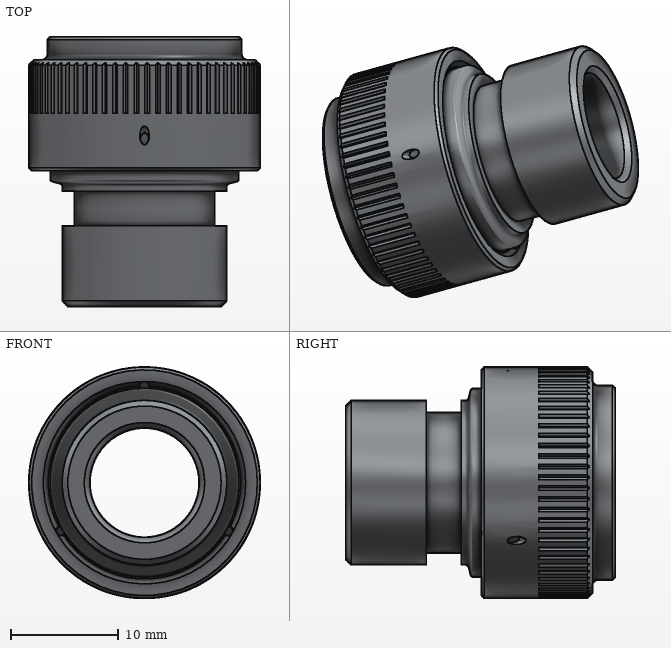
import cadquery as cq
import math

length = 25.17

spigot_radius = 7.68
spigot_end = 7.53
spigot_chamfer = 0.53
neck_radius = 6.57
neck_end = 10.77

body_radius = 8.8
shoulder_front = 11.4
shoulder_edge = 11.7
shoulder_root_fillet = 0.25
shoulder_edge_fillet = 0.3

ring_radius = 10.8
ring_front = 12.65
ring_back = 23.03
ring_front_chamfer = 0.28
ring_back_chamfer = 0.5
recess_outer_radius = 9.45
recess_depth = 0.45

collar_radius = 9.09
collar_fillet = 0.5
collar_chamfer = 0.28

bore_radius = 5.08
bore_chamfer = 0.53

groove_count = 67
groove_depth = 0.22
groove_front = 18.02

pin_count = 3
pin_diameter = 0.85
pin_slant = 30.0
pin_mouth = 15.95
pocket_depth = 0.35

recess_floor = ring_front + recess_depth
recess_floor_radius = recess_outer_radius - recess_depth


def turned_body():
    """Solid of revolution, bounded by the outer profile and the axis."""
    profile = (
        cq.Workplane("XY")
        .moveTo(0, 0)
        .lineTo(spigot_radius - spigot_chamfer, 0)
        .lineTo(spigot_radius, spigot_chamfer)
        .lineTo(spigot_radius, spigot_end)
        .lineTo(neck_radius, spigot_end)
        .lineTo(neck_radius, neck_end)
        .lineTo(spigot_radius, neck_end)
        .lineTo(spigot_radius, shoulder_front)
        .lineTo(body_radius, shoulder_edge)
        .lineTo(body_radius, recess_floor)
        .lineTo(recess_floor_radius, recess_floor)
        .lineTo(recess_outer_radius, ring_front)
        .lineTo(ring_radius - ring_front_chamfer, ring_front)
        .lineTo(ring_radius, ring_front + ring_front_chamfer)
        .lineTo(ring_radius, ring_back - ring_back_chamfer)
        .lineTo(ring_radius - ring_back_chamfer, ring_back)
        .lineTo(collar_radius, ring_back)
        .lineTo(collar_radius, length - collar_chamfer)
        .lineTo(collar_radius - collar_chamfer, length)
        .lineTo(0, length)
        .close()
    )
    return profile.revolve(360, (0, 0, 0), (0, 1, 0))


def circle_edge_at(radius, station):
    """Selector for the circular edges of one radius at one station."""
    margin = 0.03
    reach = radius + margin
    return cq.selectors.BoxSelector(
        (-reach, station - margin, -reach), (reach, station + margin, reach), boundingbox=True
    )


def round_corners(body):
    """Fillets at the shoulder and at the foot of the rear collar."""
    body = body.edges(circle_edge_at(spigot_radius, shoulder_front)).fillet(shoulder_root_fillet)
    body = body.edges(circle_edge_at(body_radius, shoulder_edge)).fillet(shoulder_edge_fillet)
    return body.edges(circle_edge_at(collar_radius, ring_back)).fillet(collar_fillet)


def bore():
    """Through bore with a chamfered mouth at the spigot face."""
    profile = (
        cq.Workplane("XY")
        .moveTo(0, 0)
        .lineTo(bore_radius + bore_chamfer, 0)
        .lineTo(bore_radius, bore_chamfer)
        .lineTo(bore_radius, length)
        .lineTo(0, length)
        .close()
    )
    return profile.revolve(360, (0, 0, 0), (0, 1, 0))


def knurl_grooves():
    """Right-angled V grooves, the first one facing -X."""
    overshoot = 0.25
    valley_radius = ring_radius - groove_depth
    rim_radius = ring_radius + overshoot
    half_width = rim_radius - valley_radius
    groove = (
        cq.Workplane("XZ", origin=(0, groove_front, 0))
        .polyline([(-valley_radius, 0), (-rim_radius, half_width), (-rim_radius, -half_width)])
        .close()
        .extrude(groove_front - ring_back)
        .val()
    )
    pitch = 360 / groove_count
    return [groove.rotate((0, 0, 0), (0, 1, 0), i * pitch) for i in range(groove_count)]


def tube(inner_radius, outer_radius, start, end):
    """Plain tube about the Y axis between two stations."""
    return (
        cq.Workplane("XZ", origin=(0, start, 0))
        .circle(outer_radius)
        .circle(inner_radius)
        .extrude(start - end)
    )


def pin_openings():
    """Open ends of the slanted pin holes: a pocket outside, a notch in the recess wall."""
    slant = math.radians(pin_slant)
    direction = cq.Vector(0, math.cos(slant), math.sin(slant))
    mouth = cq.Vector(0, pin_mouth, ring_radius)
    half_length = (ring_radius - body_radius) / math.sin(slant)
    pin = cq.Workplane(
        cq.Solid.makeCylinder(pin_diameter / 2, 2 * half_length, mouth - direction * half_length, direction)
    )
    pocket = pin.intersect(tube(ring_radius - pocket_depth, 2 * ring_radius, ring_front, ring_back))
    notch = pin.intersect(tube(body_radius, ring_radius, neck_end, recess_floor))
    openings = []
    for i in range(pin_count):
        angle = i * 360 / pin_count
        openings += [end.val().rotate((0, 0, 0), (0, 1, 0), angle) for end in (pocket, notch)]
    return openings


body = round_corners(turned_body()).cut(bore())
cutters = knurl_grooves() + pin_openings()
result = cq.Workplane(body.val().cut(*cutters).clean().Solids()[0])